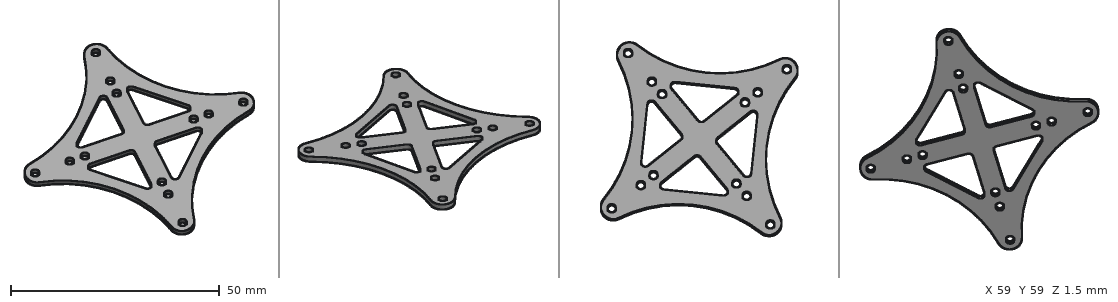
import cadquery as cq
import math

SPAN = 59.0
THICKNESS = 1.5

ARM_COUNT = 4
TIP_RADIUS = 3.0
SIDE_CENTER_OFFSET = 33.85
TIP_CENTER = SPAN / 2 - TIP_RADIUS

HOLE_DIAMETER = 2.0
HOLE_DISTANCES = (14.1, 18.0, 27.0)

CROSS_BAR_WIDTH = 5.2
WINDOW_LEG = 13.5
WINDOW_CORNER_RADIUS = 1.0


def arm_angles():
    return [arm * 360.0 / ARM_COUNT for arm in range(ARM_COUNT)]


def rotated(point, angle):
    """Turn a point about the plate center by an angle in degrees."""
    x, y = point
    cosine = math.cos(math.radians(angle))
    sine = math.sin(math.radians(angle))
    return (x * cosine - y * sine, x * sine + y * cosine)


def make_plate():
    """Star-shaped plate: round tips joined tangentially by concave arcs."""
    across = SIDE_CENTER_OFFSET - TIP_CENTER
    center_distance = math.hypot(across, SIDE_CENTER_OFFSET)
    side_radius = center_distance - TIP_RADIUS

    tangent_x = TIP_CENTER + TIP_RADIUS * across / center_distance
    tangent_y = TIP_RADIUS * SIDE_CENTER_OFFSET / center_distance
    side_middle = SIDE_CENTER_OFFSET - side_radius / math.sqrt(2)

    outline = cq.Workplane("XY").moveTo(tangent_x, -tangent_y)
    for angle in arm_angles():
        tip = rotated((SPAN / 2, 0), angle)
        side_start = rotated((tangent_x, tangent_y), angle)
        middle = rotated((side_middle, side_middle), angle)
        side_end = rotated((tangent_y, tangent_x), angle)
        outline = outline.threePointArc(tip, side_start).threePointArc(middle, side_end)
    return outline.close().extrude(THICKNESS)


def make_window():
    """Right-triangle cutter with rounded corners, in the +X +Y quadrant."""
    inner = CROSS_BAR_WIDTH / 2
    outer = inner + WINDOW_LEG
    triangle = cq.Workplane("XY").polyline([(inner, inner), (outer, inner), (inner, outer)]).close()
    return triangle.extrude(THICKNESS).edges("|Z").fillet(WINDOW_CORNER_RADIUS)


def cut_windows(plate):
    window = make_window()
    for angle in arm_angles():
        plate = plate.cut(window.rotate((0, 0, 0), (0, 0, 1), angle))
    return plate


def drill_arm_holes(plate):
    centers = [rotated((distance, 0), angle) for angle in arm_angles() for distance in HOLE_DISTANCES]
    return plate.faces(">Z").workplane(origin=(0, 0, THICKNESS)).pushPoints(centers).hole(HOLE_DIAMETER)


result = drill_arm_holes(cut_windows(make_plate()))